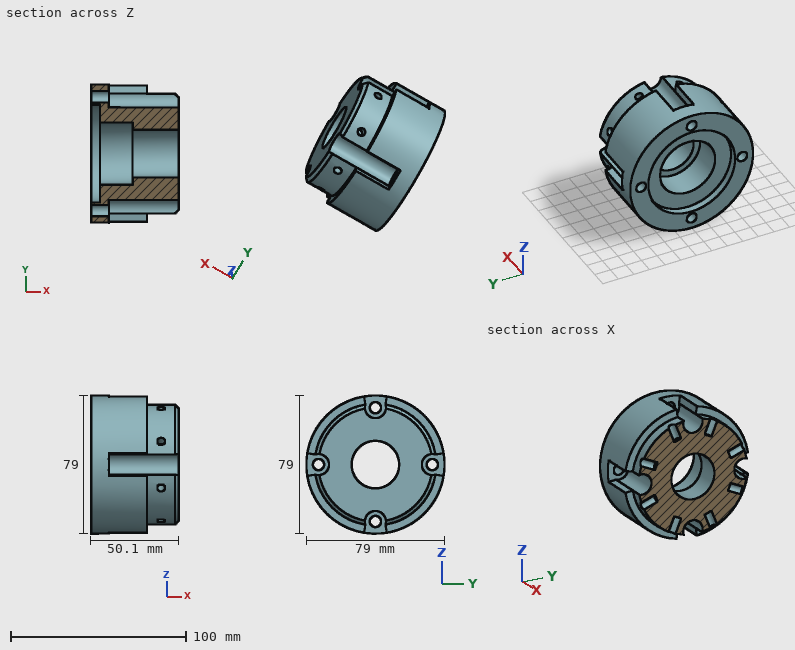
import cadquery as cq
import math

flange_radius = 39.5
boss_radius = 34.75
total_length = 50.1
shoulder_x = 32.0
chamfer = 2.2

recess_radius = 27.9
recess_depth = 5.05
bore_radius = 17.7
bore_end_x = 23.7
through_radius = 13.5

slot_count = 4
slot_start_x = 10.2
slot_radius = 6.0
slot_pitch_radius = 32.45
mounting_hole_radius = 3.15

radial_hole_count = 8
radial_hole_x = 39.95
radial_hole_radius = 2.2
radial_hole_depth = 9.5


def axial_cylinder(radius, start_x, end_x, offset=0.0):
    """Cylinder along X, with its axis moved towards +Z by offset."""
    return (
        cq.Workplane("YZ", origin=(start_x, 0, offset))
        .circle(radius)
        .extrude(end_x - start_x)
    )


def turned_body():
    flange = axial_cylinder(flange_radius, 0, shoulder_x)
    boss = axial_cylinder(boss_radius, 0, total_length).faces(">X").chamfer(chamfer)
    recess = axial_cylinder(recess_radius, 0, recess_depth)
    bore = axial_cylinder(bore_radius, 0, bore_end_x)
    through_bore = axial_cylinder(through_radius, 0, total_length)
    return flange.union(boss).cut(recess).cut(bore).cut(through_bore)


def slot_cutter():
    """Round-bottomed slot whose side walls are radial outside the boss diameter."""
    rim_height = (boss_radius**2 + slot_pitch_radius**2 - slot_radius**2) / (2 * slot_pitch_radius)
    rim_half_width = math.sqrt(boss_radius**2 - rim_height**2)
    flare = 1.2 * flange_radius / boss_radius
    top_height = flare * rim_height
    top_half_width = flare * rim_half_width
    return (
        cq.Workplane("YZ", origin=(slot_start_x, 0, 0))
        .moveTo(-rim_half_width, rim_height)
        .threePointArc((0, slot_pitch_radius - slot_radius), (rim_half_width, rim_height))
        .lineTo(top_half_width, top_height)
        .lineTo(-top_half_width, top_height)
        .close()
        .extrude(total_length - slot_start_x)
    )


def radial_hole_cutter():
    return (
        cq.Workplane("XY", origin=(radial_hole_x, 0, boss_radius - radial_hole_depth))
        .circle(radial_hole_radius)
        .extrude(2 * radial_hole_depth)
    )


def cut_around_axis(body, cutter, count, first_angle=0.0):
    for index in range(count):
        angle = first_angle + index * 360 / count
        body = body.cut(cutter.rotate((0, 0, 0), (1, 0, 0), angle))
    return body


mounting_hole = axial_cylinder(mounting_hole_radius, 0, slot_start_x, slot_pitch_radius)
half_hole_pitch = 180 / radial_hole_count

result = turned_body()
result = cut_around_axis(result, slot_cutter(), slot_count)
result = cut_around_axis(result, mounting_hole, slot_count)
result = cut_around_axis(result, radial_hole_cutter(), radial_hole_count, half_hole_pitch)